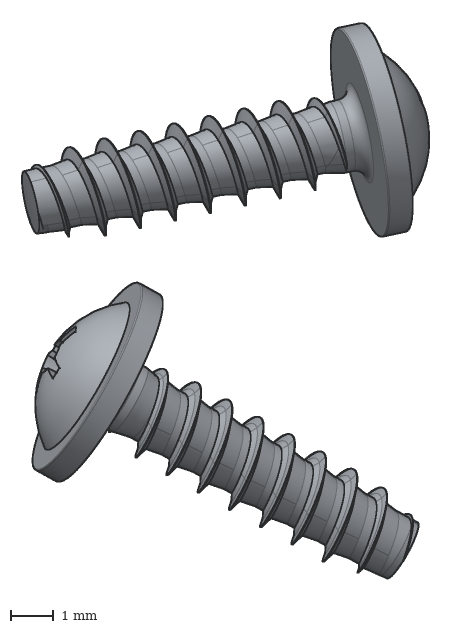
import cadquery as cq
import math


flange_radius = 2.5
flange_thickness = 0.6
flange_edge_round = 0.03
dome_base_radius = 1.96
dome_height = 1.005
dome_top_y = flange_thickness + dome_height
dome_sphere_radius = (dome_base_radius**2 + dome_height**2) / (2 * dome_height)

wing_width = 0.31
wing_reach = 0.9
recess_core_radius = 0.43
recess_core_floor_radius = 0.29
wing_floor_radius = 0.38
recess_depth = 0.96

neck_radius = 0.85
neck_fillet = 0.34
neck_end_y = -0.555
neck_taper_length = 0.48
core_radius = 0.76
tip_radius = 0.74
tip_taper_length = 0.19
apex_y = -8.0
tip_cone_height = 0.02
tip_y = apex_y + tip_cone_height

crest_radius = 1.12
crest_half_width = 0.01
upper_flank_width = 0.14
upper_break_radius = 0.92
upper_break_width = 0.06
lower_flank_width = 0.115
ridge_foot_radius = 0.82
root_slope_length = 0.44
thread_overlap = 0.01
buried_radius = core_radius - thread_overlap
inner_radius = 0.67
first_turn = -0.5
full_height_turn = 1.0
fade_turn = 7.25
last_turn = 8.75
vanish_turn = 8.8
full_height_length = 5.31
pitch = full_height_length / (fade_turn - full_height_turn)
span_turns = 0.25
span_steps = 6


def dome_y(radius):
    """Height of the dome surface at a distance from the axis."""
    return dome_top_y - dome_sphere_radius + math.sqrt(dome_sphere_radius**2 - radius**2)


def make_blank():
    """Head, flange, neck and thread core turned as one profile."""
    mid_radius = dome_base_radius / 2
    fillet_mid = neck_fillet * (1 - math.sqrt(0.5))
    edge_mid = flange_edge_round * (1 - math.sqrt(0.5))
    return (
        cq.Workplane("XY")
        .moveTo(0, apex_y)
        .lineTo(tip_radius, tip_y)
        .lineTo(core_radius, tip_y + tip_taper_length)
        .lineTo(core_radius, neck_end_y - neck_taper_length)
        .lineTo(neck_radius, neck_end_y)
        .lineTo(neck_radius, -neck_fillet)
        .threePointArc((neck_radius + fillet_mid, -fillet_mid), (neck_radius + neck_fillet, 0))
        .lineTo(flange_radius - flange_edge_round, 0)
        .threePointArc((flange_radius - edge_mid, edge_mid), (flange_radius, flange_edge_round))
        .lineTo(flange_radius, flange_thickness - flange_edge_round)
        .threePointArc(
            (flange_radius - edge_mid, flange_thickness - edge_mid),
            (flange_radius - flange_edge_round, flange_thickness),
        )
        .lineTo(dome_base_radius, flange_thickness)
        .threePointArc((mid_radius, dome_y(mid_radius)), (0, dome_top_y))
        .close()
        .revolve(360, (0, 0, 0), (0, 1, 0))
    )


def tapered_plug(floor_radius, rim_radius, rim_y, floor_y):
    """Cone frustum that widens from the recess floor, through its rim, to the dome top."""
    slope = (rim_radius - floor_radius) / (rim_y - floor_y)
    top_radius = floor_radius + slope * (dome_top_y - floor_y)
    outline = [(0, floor_y), (floor_radius, floor_y), (top_radius, dome_top_y), (0, dome_top_y)]
    return cq.Workplane("XY").polyline(outline).close().revolve(360, (0, 0, 0), (0, 1, 0))


def make_recess():
    """Four tapered wings along X and Z around a tapered round core."""
    rim_y = dome_y(recess_core_radius)
    floor_y = rim_y - recess_depth
    span = 4 * wing_reach
    cross = cq.Workplane("XY").box(span, span, wing_width)
    cross = cross.union(cq.Workplane("XY").box(wing_width, span, span))
    cross = cross.translate((0, dome_top_y, 0))
    wings = cross.intersect(tapered_plug(wing_floor_radius, wing_reach, dome_y(wing_reach), floor_y))
    core = tapered_plug(recess_core_floor_radius, recess_core_radius, rim_y, floor_y)
    return wings.union(core)


def thread_section(turn):
    """Thread section at a turn, as (radius, offset along Y from the crest) corners."""
    rise = min(1, (turn - first_turn) / (full_height_turn - first_turn))
    fall = min(1, (vanish_turn - turn) / (vanish_turn - fade_turn))
    full_height = crest_radius - buried_radius
    height = full_height * fall - (crest_radius - neck_radius) * (1 - rise)
    size = height / full_height
    crest = buried_radius + height
    upper_break = buried_radius + (upper_break_radius - buried_radius) * size
    foot = buried_radius + (ridge_foot_radius - buried_radius) * fall
    root_end = -lower_flank_width - root_slope_length
    return [
        (inner_radius, upper_flank_width * size),
        (buried_radius, upper_flank_width * size),
        (upper_break, upper_break_width * size),
        (crest, crest_half_width * size),
        (crest, -crest_half_width * size),
        (foot, -lower_flank_width * size),
        (buried_radius, root_end),
        (inner_radius, root_end),
    ]


def helix_point(turn, corner):
    """Position of one section corner after winding it round the axis to a turn."""
    radius, offset = thread_section(turn)[corner]
    angle = 2 * math.pi * turn
    y = neck_end_y - pitch * turn + offset
    return cq.Vector(radius * math.cos(angle), y, radius * math.sin(angle))


def make_thread():
    """Ruled faces between the corner helices, capped at both ends, trimmed to the threaded length."""
    corners = range(len(thread_section(first_turn)))
    faces = []
    for span in range(round((last_turn - first_turn) / span_turns)):
        start = first_turn + span * span_turns
        turns = [start + span_turns * step / span_steps for step in range(span_steps + 1)]
        helices = [cq.Edge.makeSpline([helix_point(turn, corner) for turn in turns]) for corner in corners]
        faces += [cq.Face.makeRuledSurface(helices[corner - 1], helices[corner]) for corner in corners]
    for turn in (first_turn, last_turn):
        outline = [helix_point(turn, corner) for corner in corners]
        faces.append(cq.Face.makeFromWires(cq.Wire.makePolygon(outline, close=True)))
    body = cq.Solid.makeSolid(cq.Shell.makeShell(faces))
    threaded_length = cq.Solid.makeCylinder(
        2 * crest_radius, neck_end_y - tip_y, cq.Vector(0, tip_y, 0), cq.Vector(0, 1, 0)
    )
    return cq.Workplane("XY").add(body).intersect(cq.Workplane("XY").add(threaded_length))


result = make_blank().union(make_thread()).cut(make_recess())